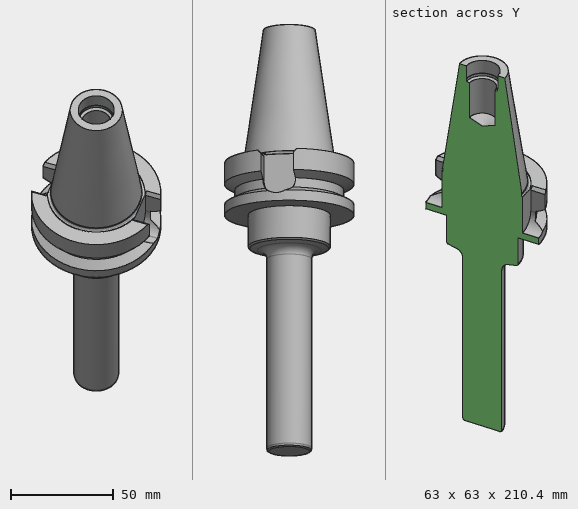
import cadquery as cq
import math


total_length = 210.4

gauge_dia = 44.45
taper_length = 65.4
taper_ratio = 7 / 24
taper_top_dia = gauge_dia - taper_length * taper_ratio

neck_dia = 43.85
recess_dia = 47.4
recess_depth = 0.6
recess_fillet = 0.5

flange_dia = 62.98
flange_top_z = -1.0
flange_bottom_z = -27.0
groove_core_dia = 53.0
groove_upper_edge_z = -11.6
groove_core_top_z = -14.5
groove_core_bottom_z = -19.2
groove_lower_edge_z = -21.8

collar_dia = 40.0
collar_side_bottom_z = -42.8
collar_chamfer = 0.8
collar_cone_angle = 14
shank_dia = 22.0
shank_bottom_z = taper_length - total_length
shank_end_cone_height = 1.0
shank_end_cone_angle = 12
shank_end_chamfer_height = 0.5
shank_end_chamfer_width = 0.8
shank_fillet = 4.5

slot_width = 16.1
slot_floor_x = 22.5
slot_bottom_z = -23.0
slot_corner_radius = 8.0
slot_chamfer = 1.6

entry_dia = 17.41
entry_depth = 7.5
bore_dia = 17.01
bore_depth = 9.0
drill_dia = 14.0
drill_depth = 30.0
drill_point_angle = 140


def make_body():
    """Turned body: shank, collar, grooved flange and taper."""
    shank_r = shank_dia / 2
    collar_r = collar_dia / 2
    flange_r = flange_dia / 2
    core_r = groove_core_dia / 2
    end_cone_r = shank_r - shank_end_cone_height * math.tan(math.radians(shank_end_cone_angle))
    end_cone_bottom_z = shank_bottom_z + shank_end_chamfer_height
    recess_floor_z = flange_top_z - recess_depth
    cone_outer_r = collar_r - collar_chamfer
    cone_outer_z = collar_side_bottom_z - collar_chamfer
    fillet_top_r = shank_r + shank_fillet
    cone_height = (cone_outer_r - fillet_top_r) * math.tan(math.radians(collar_cone_angle))
    fillet_top_z = cone_outer_z - cone_height
    fillet_end_z = fillet_top_z - shank_fillet
    profile = (
        cq.Workplane("XZ")
        .moveTo(0, shank_bottom_z)
        .lineTo(end_cone_r - shank_end_chamfer_width, shank_bottom_z)
        .lineTo(end_cone_r, end_cone_bottom_z)
        .lineTo(shank_r, end_cone_bottom_z + shank_end_cone_height)
        .lineTo(shank_r, fillet_end_z)
        .radiusArc((fillet_top_r, fillet_top_z), shank_fillet)
        .lineTo(cone_outer_r, cone_outer_z)
        .lineTo(collar_r, collar_side_bottom_z)
        .lineTo(collar_r, flange_bottom_z)
        .lineTo(flange_r, flange_bottom_z)
        .lineTo(flange_r, groove_lower_edge_z)
        .lineTo(core_r, groove_core_bottom_z)
        .lineTo(core_r, groove_core_top_z)
        .lineTo(flange_r, groove_upper_edge_z)
        .lineTo(flange_r, flange_top_z)
        .lineTo(recess_dia / 2, flange_top_z)
        .lineTo(recess_dia / 2, recess_floor_z)
        .lineTo(neck_dia / 2 + recess_fillet, recess_floor_z)
        .radiusArc((neck_dia / 2, recess_floor_z + recess_fillet), recess_fillet)
        .lineTo(neck_dia / 2, 0)
        .lineTo(gauge_dia / 2, 0)
        .lineTo(taper_top_dia / 2, taper_length)
        .lineTo(0, taper_length)
        .close()
    )
    return profile.revolve(360, (0, 0), (0, 1))


def make_slot():
    """Cutter for the +X drive slot: rounded bottom corners and a chamfered mouth."""
    half = slot_width / 2
    arc_z = slot_bottom_z + slot_corner_radius
    flat_half = half - slot_corner_radius
    outer_half = half + slot_chamfer
    return (
        cq.Workplane("YZ")
        .workplane(offset=slot_floor_x)
        .moveTo(-half, arc_z)
        .radiusArc((-flat_half, slot_bottom_z), -slot_corner_radius)
        .lineTo(flat_half, slot_bottom_z)
        .radiusArc((half, arc_z), -slot_corner_radius)
        .lineTo(half, flange_top_z - slot_chamfer)
        .lineTo(outer_half, flange_top_z)
        .lineTo(outer_half, 0)
        .lineTo(-outer_half, 0)
        .lineTo(-outer_half, flange_top_z)
        .lineTo(-half, flange_top_z - slot_chamfer)
        .close()
        .extrude(flange_dia / 2)
    )


def make_hole():
    """Cutter for the stepped blind hole with a conical seat and a drill point."""
    drill_r = drill_dia / 2
    point_slope = 1 / math.tan(math.radians(drill_point_angle / 2))
    seat_height = (bore_dia / 2 - drill_r) * point_slope
    point_height = drill_r * point_slope
    return (
        cq.Workplane("XZ")
        .moveTo(0, taper_length)
        .lineTo(entry_dia / 2, taper_length)
        .lineTo(entry_dia / 2, taper_length - entry_depth)
        .lineTo(bore_dia / 2, taper_length - entry_depth)
        .lineTo(bore_dia / 2, taper_length - bore_depth)
        .lineTo(drill_r, taper_length - bore_depth - seat_height)
        .lineTo(drill_r, taper_length - drill_depth)
        .lineTo(0, taper_length - drill_depth - point_height)
        .close()
        .revolve(360, (0, 0), (0, 1))
    )


result = make_body().cut(make_hole())
for slot_angle in (0, 180):
    result = result.cut(make_slot().rotate((0, 0, 0), (0, 0, 1), slot_angle))